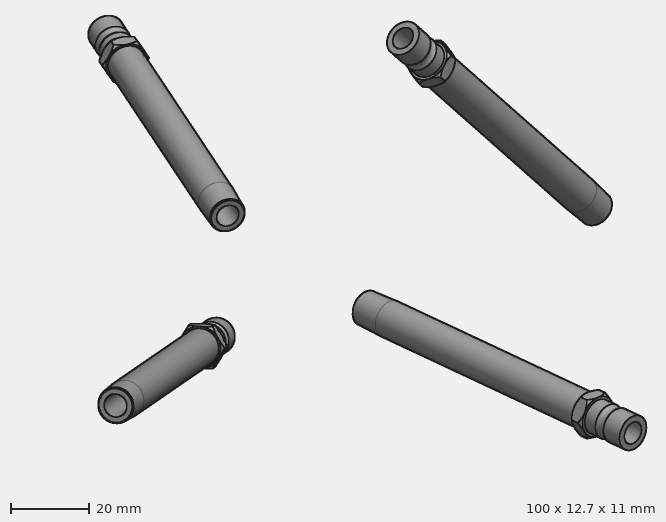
import cadquery as cq
import math

length = 100.0
bore_diameter = 6.0

plug_diameter = 9.5
groove_start = 6.0
groove_end = 9.0
groove_diameter = 8.1

hex_sides = 6
hex_start = 13.0
hex_width = 4.0
hex_across_flats = 11.0
hex_chamfer_angle = 45.0

body_diameter = 10.0
taper_start = 91.0
taper_ratio = 1 / 16
tip_chamfer = 0.3

tip_diameter = body_diameter - (length - taper_start) * taper_ratio
hex_end = hex_start + hex_width
hex_across_corners = hex_across_flats / math.cos(math.pi / hex_sides)


def make_tube():
    """Turned outer shape: plug, groove, body and tapered end."""
    plug_radius = plug_diameter / 2
    groove_radius = groove_diameter / 2
    body_radius = body_diameter / 2
    groove_middle = (groove_start + groove_end) / 2
    profile = (
        cq.Workplane("XZ")
        .lineTo(0, plug_radius)
        .lineTo(groove_start, plug_radius)
        .threePointArc((groove_middle, groove_radius), (groove_end, plug_radius))
        .lineTo(hex_start, plug_radius)
        .lineTo(hex_start, body_radius)
        .lineTo(taper_start, body_radius)
        .lineTo(length, tip_diameter / 2)
        .lineTo(length, 0)
        .close()
    )
    tube = profile.revolve(360, (0, 0, 0), (1, 0, 0))
    return tube.faces(">X").chamfer(tip_chamfer)


def make_hex_collar():
    """Hexagon with corners along Y, its corners turned down on both faces."""
    hexagon = (
        cq.Workplane("YZ", origin=(hex_start, 0, 0))
        .polygon(hex_sides, hex_across_corners)
        .extrude(hex_width)
    )
    face_radius = hex_across_flats / 2
    corner_radius = hex_across_corners / 2
    chamfer_length = (corner_radius - face_radius) / math.tan(math.radians(hex_chamfer_angle))
    turned_envelope = (
        cq.Workplane("XZ")
        .moveTo(hex_start, 0)
        .lineTo(hex_start, face_radius)
        .lineTo(hex_start + chamfer_length, corner_radius)
        .lineTo(hex_end - chamfer_length, corner_radius)
        .lineTo(hex_end, face_radius)
        .lineTo(hex_end, 0)
        .close()
        .revolve(360, (0, 0, 0), (1, 0, 0))
    )
    return hexagon.intersect(turned_envelope)


def make_bore():
    """Straight bore through the whole length."""
    return cq.Workplane("YZ").circle(bore_diameter / 2).extrude(length)


result = make_tube().union(make_hex_collar()).cut(make_bore())